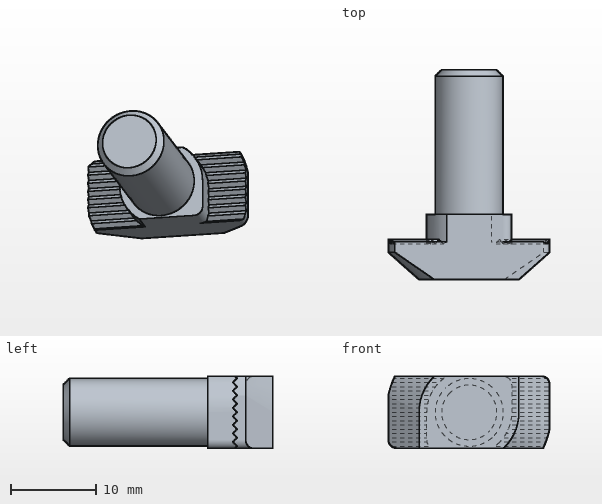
import cadquery as cq
import math

total_length = 24.7
height = 8.5
half_height = height / 2

shank_diameter = 8.0
shank_chamfer = 0.77

neck_width = 10.0
neck_half_width = neck_width / 2
neck_end = 7.68

corner_radius = (neck_width - shank_diameter) / 2

head_width = 19.0
head_half_width = head_width / 2
face_half_width = 5.88
arc_start_height = 1.98
bevel_depth = 3.2

pitches_across_shank = 8
tooth_pitch = shank_diameter / pitches_across_shank
tooth_root = 4.22
tooth_tip = tooth_root + tooth_pitch / 2


def turning_outline(plane, half_width, arc_start):
    """Rectangle with two opposite corners rounded by a circle about the bolt axis."""
    radius = math.hypot(half_width, arc_start)
    start_angle = math.atan2(arc_start, half_width)
    end_angle = math.asin(half_height / radius)
    mid_angle = (start_angle + end_angle) / 2
    arc_mid = (radius * math.cos(mid_angle), radius * math.sin(mid_angle))
    arc_end_x = radius * math.cos(end_angle)
    return (
        plane.moveTo(half_width, half_height)
        .lineTo(-arc_end_x, half_height)
        .threePointArc((-arc_mid[0], arc_mid[1]), (-half_width, arc_start))
        .lineTo(-half_width, -half_height)
        .lineTo(arc_end_x, -half_height)
        .threePointArc((arc_mid[0], -arc_mid[1]), (half_width, -arc_start))
        .close()
    )


def turning_block(half_width, arc_start, length):
    """Extruded turning outline with its two square corners filleted."""
    block = turning_outline(cq.Workplane("XZ"), half_width, arc_start).extrude(-length)
    for x, z in ((half_width, half_height), (-half_width, -half_height)):
        corner = cq.selectors.NearestToPointSelector((x, length / 2, z))
        block = block.edges("|Y").edges(corner).fillet(corner_radius)
    return block


def make_bevel():
    """Tapered front of the head, from the small face to the full outline."""
    face = turning_outline(cq.Workplane("XZ"), face_half_width, 0)
    full = turning_outline(face.workplane(offset=-bevel_depth), head_half_width, arc_start_height)
    return full.loft(ruled=True)


def make_serrated_slab():
    """Slab behind the bevel, its rear surface cut into 90 degree teeth along X."""
    roots_per_side = math.ceil(half_height / tooth_pitch)
    reach = roots_per_side * tooth_pitch
    points = [(bevel_depth, -reach), (tooth_root, -reach)]
    for index in range(-roots_per_side, roots_per_side):
        root_z = index * tooth_pitch
        points.append((tooth_tip, root_z + tooth_pitch / 2))
        points.append((tooth_root, root_z + tooth_pitch))
    points.append((bevel_depth, reach))
    return cq.Workplane("YZ").polyline(points).close().extrude(head_half_width, both=True)


def make_shank():
    shank = cq.Workplane("XZ", origin=(0, bevel_depth, 0)).circle(shank_diameter / 2)
    return shank.extrude(bevel_depth - total_length).faces(">Y").chamfer(shank_chamfer)


head_envelope = turning_block(head_half_width, arc_start_height, tooth_tip)
head = make_bevel().union(make_serrated_slab()).intersect(head_envelope)

neck = turning_block(neck_half_width, 0, neck_end)
neck_front = cq.Workplane("XY").box(
    neck_width, bevel_depth, height, centered=(True, False, True)
)
neck = neck.cut(neck_front)

result = head.union(neck).union(make_shank())